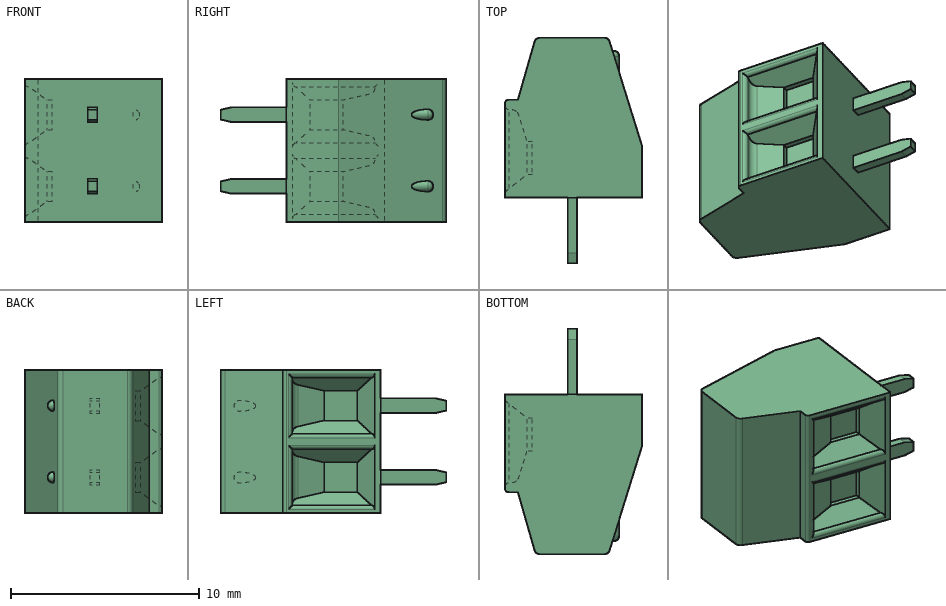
import cadquery as cq
import math

total_length = 12.0
pin_length = 3.49
housing_length = total_length - pin_length
housing_width = 7.3
housing_height = 7.62
cell_count = 2
pitch = housing_height / cell_count

step_y = 5.21
step_depth = 0.68
crown_left = 1.63
crown_right = 5.51
shoulder_y = 2.76
crown_radius = 0.3
step_radius = 0.18

entry_start_y = 0.32
entry_end_y = 4.91
entry_margin = 0.2
entry_half_height = pitch / 2 - entry_margin
lip_radius = 0.22
funnel_depth = 1.15
corner_start_depth = 0.32
corner_end_depth = 0.72
corner_end_y = 4.42
floor_start_y = 1.24
floor_end_y = 3.01
floor_half_height = 0.79
floor_recess = 0.29

pin_x = 3.59
pin_width = 0.5
pin_height = 0.79
pin_tip_length = 0.56
pin_tip_height = 0.53

rod_x = 5.8
rod_radius = 0.29
rod_start_y = 5.4
rod_end_y = 7.81


def make_housing():
    """Extruded outline with a stepped left side and a sloped right side."""
    body = (
        cq.Workplane("XY")
        .polyline([
            (0, 0),
            (housing_width, 0),
            (housing_width, shoulder_y),
            (crown_right, housing_length),
            (crown_left, housing_length),
            (step_depth, step_y),
            (0, step_y),
        ])
        .close()
        .extrude(housing_height)
    )
    body = body.edges("|Z and >Y").fillet(crown_radius)
    step_corner = cq.selectors.NearestToPointSelector((0, step_y, housing_height / 2))
    return body.edges(step_corner).fillet(step_radius)


def make_entry(center_z):
    """Funnel with rounded lips, ending in a shallow rectangular recess."""
    arc_inset = lip_radius * math.sqrt(0.5)
    arc_depth = lip_radius - arc_inset
    throat_y = entry_end_y - lip_radius
    throat_half = entry_half_height - lip_radius

    chord_x = corner_end_depth - corner_start_depth
    chord_y = throat_y - corner_end_y
    corner_radius = (chord_x**2 + chord_y**2) / (2 * chord_y)
    half_turn = math.asin(chord_x / corner_radius) / 2
    corner_mid = (
        corner_start_depth + corner_radius * math.sin(half_turn),
        throat_y - corner_radius * (1 - math.cos(half_turn)),
    )

    plan = (
        cq.Workplane("XY")
        .moveTo(0, entry_start_y)
        .lineTo(funnel_depth, floor_start_y)
        .lineTo(funnel_depth, floor_end_y)
        .lineTo(corner_end_depth, corner_end_y)
        .threePointArc(corner_mid, (corner_start_depth, throat_y))
        .lineTo(lip_radius, throat_y)
        .threePointArc((arc_depth, throat_y + arc_depth), (0, entry_end_y))
        .close()
        .extrude(2 * entry_half_height)
        .translate((0, 0, center_z - entry_half_height))
    )
    section = (
        cq.Workplane("XZ")
        .moveTo(0, -entry_half_height)
        .threePointArc((arc_depth, -throat_half - arc_depth), (lip_radius, -throat_half))
        .lineTo(funnel_depth, -floor_half_height)
        .lineTo(funnel_depth, floor_half_height)
        .lineTo(lip_radius, throat_half)
        .threePointArc((arc_depth, throat_half + arc_depth), (0, entry_half_height))
        .close()
        .extrude(-housing_length)
        .translate((0, 0, center_z))
    )
    recess = cq.Workplane("XY").box(
        floor_recess, floor_end_y - floor_start_y, 2 * floor_half_height
    ).translate((funnel_depth + floor_recess / 2, (floor_start_y + floor_end_y) / 2, center_z))
    return plan.intersect(section).union(recess)


def make_pin(center_z):
    """Flat pin along -Y whose tip narrows in height."""
    half = pin_height / 2
    tip_half = pin_tip_height / 2
    taper_y = pin_tip_length - pin_length
    return (
        cq.Workplane("YZ")
        .polyline([
            (0, -half),
            (0, half),
            (taper_y, half),
            (-pin_length, tip_half),
            (-pin_length, -tip_half),
            (taper_y, -half),
        ])
        .close()
        .extrude(pin_width)
        .translate((pin_x - pin_width / 2, 0, center_z))
    )


def make_rod(center_z):
    """Rod along Y with a hemispherical end."""
    dome_y = rod_end_y - rod_radius
    shaft = (
        cq.Workplane("XZ")
        .circle(rod_radius)
        .extrude(dome_y - rod_start_y)
        .translate((rod_x, dome_y, center_z))
    )
    dome = cq.Workplane("XY").sphere(rod_radius).translate((rod_x, dome_y, center_z))
    return shaft.union(dome)


result = make_housing()
for cell in range(cell_count):
    cell_z = (cell + 0.5) * pitch
    result = result.cut(make_entry(cell_z))
    result = result.union(make_pin(cell_z))
    result = result.union(make_rod(cell_z))